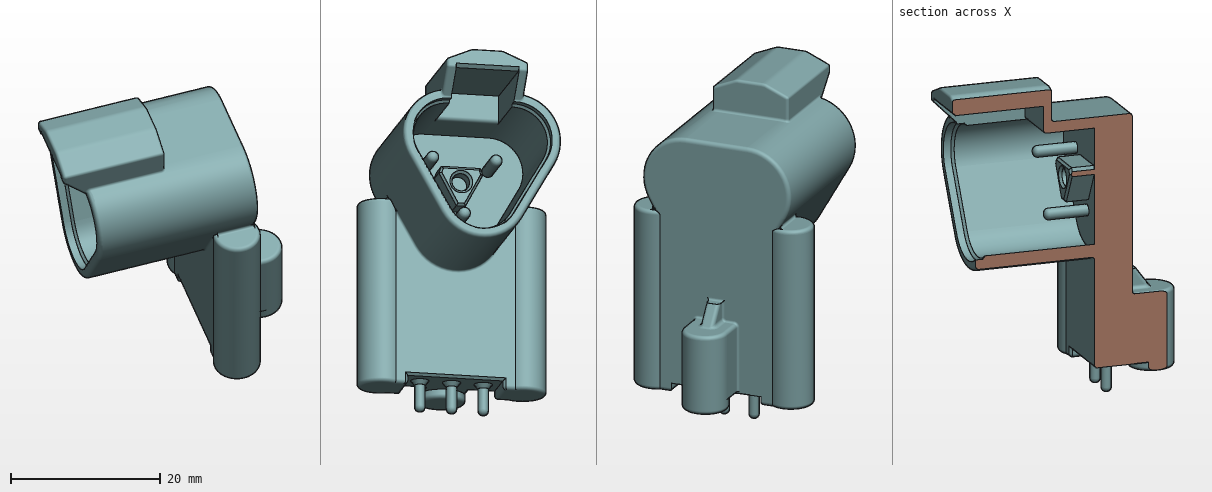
import cadquery as cq
import math


plate_half_depth = 2.75
post_radius = 3.15
overall_width = 25.75
post_x = overall_width / 2 - post_radius
post_height = 25.6
post_round = 0.55
plate_half_width = post_x - math.sqrt(post_radius**2 - plate_half_depth**2)

notch_half_width = 6.5
notch_height = 1.25
notch_chamfer = 0.35

contact_spacing = 8.7
contact_radius = 0.8
contact_drop = contact_spacing * math.sqrt(3) / 2
foot_pin_length = 3.05
collar_radius = 1.25
collar_height = 0.6
contact_front_y = -8.85
contact_tip_round = 0.65
foot_pin_radius = 0.7

corner_spacing = 8.95
shell_radius = 6.3
shell_front_y = -19.73
shell_top_z = 36.45
shell_wall = 1.6
cavity_radius = shell_radius - shell_wall
shell_front_round = 0.55
shell_back_round = 0.58
rebate_step = 0.35
rebate_depth = 1.05
upper_corner_z = shell_top_z - shell_radius
corner_drop = corner_spacing * math.sqrt(3) / 2
lower_corner_z = upper_corner_z - corner_drop
socket_centre_z = upper_corner_z - corner_drop / 3
plate_shell_round = 0.3

hood_half_width = 5.55
hood_flat_half_width = 2.1
hood_ridge_round = 1.75
hood_shoulder_z = 39.8
hood_top_z = 41.25
hood_back_y = -8.78
hood_front_y = -23.0
hood_lip_z = 38.65
hood_round = 0.4
hood_base_round = 0.35
hood_wall = 1.25
slot_lead_in = 0.5
slot_back_round = 0.55

key_top_half_width = 2.65
key_half_width = 3.0
key_tip_half_width = 0.6
key_top_z = 29.6
key_corner_z = 28.7
key_tip_z = 24.25
key_front_y = -6.2
key_chamfer = 0.3
key_hole_radius = 1.2
key_hole_depth = 2.2
key_hole_chamfer = 0.35

margin = 0.05

lug_radius = 3.15
lug_centre_y = 6.35
lug_height = 11.15
lug_round = 0.55
lug_relief_chamfer = 0.35
lug_foot_round = 0.3
gusset_half_width = 0.98
gusset_top_z = 14.0
gusset_flat_y = 4.0
gusset_toe_y = 6.1
gusset_round = 0.55
gusset_foot_round = 0.55


def slab(outline, y_from, y_to):
    """Extrude an outline of the XZ plane between two Y positions."""
    return outline.extrude(y_from - y_to).translate((0, y_from, 0))


def rounded_triangle(radius):
    """Outline of the socket: three arcs of one radius joined by tangent lines."""
    half = corner_spacing / 2
    across = radius * math.cos(math.radians(30))
    along = radius / 2
    return (
        cq.Workplane("XZ")
        .moveTo(-half, upper_corner_z + radius)
        .lineTo(half, upper_corner_z + radius)
        .threePointArc((half + across, upper_corner_z + along), (half + across, upper_corner_z - along))
        .lineTo(across, lower_corner_z - along)
        .threePointArc((0, lower_corner_z - radius), (-across, lower_corner_z - along))
        .lineTo(-half - across, upper_corner_z - along)
        .threePointArc((-half - across, upper_corner_z + along), (-half, upper_corner_z + radius))
        .close()
    )


def make_plate():
    """Flat plate between two round posts, with a chamfered notch in its foot."""
    plate = cq.Workplane("XY").rect(2 * plate_half_width, 2 * plate_half_depth).extrude(post_height)
    for side in (-1, 1):
        post = cq.Workplane("XY").center(side * post_x, 0).circle(post_radius).extrude(post_height)
        plate = plate.union(post)
    plate = plate.faces(">Z").edges().fillet(post_round)
    notch = cq.Workplane("XY").rect(2 * notch_half_width, 4 * plate_half_depth).extrude(notch_height)
    plate = plate.cut(notch)
    front_notch_edges = cq.selectors.BoxSelector(
        (-notch_half_width - margin, -plate_half_depth - margin, margin),
        (notch_half_width + margin, -plate_half_depth + margin, notch_height + margin),
    )
    plate = plate.edges(front_notch_edges).chamfer(notch_chamfer)
    return plate.faces("<Z").edges().fillet(post_round)


def make_shell():
    """Solid outer form of the socket with rounded ends."""
    shell = slab(rounded_triangle(shell_radius), plate_half_depth, shell_front_y)
    shell = shell.faces("<Y").edges().fillet(shell_front_round)
    return shell.faces(">Y").edges().fillet(shell_back_round)


def make_hood():
    """Solid outer form of the latch hood, with sloping shoulders and an overhanging nose."""
    section = (
        cq.Workplane("XZ")
        .moveTo(-hood_half_width, socket_centre_z)
        .lineTo(-hood_half_width, hood_shoulder_z)
        .lineTo(-hood_flat_half_width, hood_top_z)
        .lineTo(hood_flat_half_width, hood_top_z)
        .lineTo(hood_half_width, hood_shoulder_z)
        .lineTo(hood_half_width, socket_centre_z)
        .close()
    )
    hood = slab(section, hood_back_y, hood_front_y)
    nose_drop = hood_lip_z - socket_centre_z
    under_nose = (
        cq.Workplane("YZ")
        .moveTo(hood_front_y, hood_lip_z)
        .lineTo(hood_front_y + nose_drop, socket_centre_z)
        .lineTo(hood_front_y, socket_centre_z)
        .close()
        .extrude(hood_half_width, both=True)
    )
    hood = hood.cut(under_nose)
    ridges = cq.selectors.BoxSelector(
        (-hood_flat_half_width - margin, hood_front_y - margin, hood_top_z - margin),
        (hood_flat_half_width + margin, hood_back_y + margin, hood_top_z + margin),
    )
    hood = hood.edges("|Y").edges(ridges).fillet(hood_ridge_round)
    upper = cq.selectors.BoxSelector(
        (-2 * hood_half_width, hood_front_y - 0.45, socket_centre_z + 0.45),
        (2 * hood_half_width, hood_back_y + 0.45, hood_top_z + 0.45),
    )
    return hood.edges(upper).fillet(hood_round)


def make_covered_shell():
    """Shell with the hood on top and a small round around the foot of the hood."""
    covered = make_shell().union(make_hood())
    hood_foot = cq.selectors.BoxSelector(
        (-hood_half_width - margin, shell_front_y - margin, shell_top_z - 0.65),
        (hood_half_width + margin, hood_back_y + margin, shell_top_z + margin),
        boundingbox=True,
    )
    rim = cq.selectors.BoxSelector(
        (-hood_half_width - margin, shell_front_y - margin, socket_centre_z),
        (hood_half_width + margin, shell_front_y + margin, shell_top_z),
        boundingbox=True,
    )
    return covered.edges(hood_foot - rim).fillet(hood_base_round)


def make_body():
    """Plate and covered shell joined, with a small round where the shell leaves the plate."""
    body = make_plate().union(make_covered_shell())
    shell_foot = cq.selectors.BoxSelector(
        (-plate_half_width - margin, -plate_half_depth - margin, lower_corner_z - shell_radius - margin),
        (plate_half_width + margin, -plate_half_depth + margin, post_height - post_round),
        boundingbox=True,
    )
    return body.edges(shell_foot).fillet(plate_shell_round)


def make_cavity():
    """Socket interior with a rebated mouth, and the slot for the latch under the hood."""
    cavity = slab(rounded_triangle(cavity_radius), -plate_half_depth, shell_front_y)
    rebate_radius = cavity_radius + rebate_step
    rebate_end_y = shell_front_y + rebate_depth
    rebate = slab(rounded_triangle(rebate_radius), rebate_end_y, shell_front_y)
    shoulder = rounded_triangle(rebate_radius).extrude(-rebate_step, taper=45)
    shoulder = shoulder.translate((0, rebate_end_y, 0))
    slot_back_y = hood_back_y - hood_wall
    cavity_top_z = upper_corner_z + cavity_radius
    slot = (
        cq.Workplane("YZ")
        .moveTo(hood_front_y, socket_centre_z)
        .lineTo(hood_front_y, hood_lip_z + slot_lead_in)
        .lineTo(hood_front_y + slot_lead_in, hood_lip_z)
        .lineTo(slot_back_y, hood_lip_z)
        .lineTo(slot_back_y, cavity_top_z + slot_back_round)
        .radiusArc((slot_back_y + slot_back_round, cavity_top_z), -slot_back_round)
        .lineTo(slot_back_y + slot_back_round, socket_centre_z)
        .close()
        .extrude(hood_half_width - hood_wall, both=True)
    )
    return cavity.union(rebate).union(shoulder).union(slot)


def make_key():
    """Triangular key with clipped corners and a countersunk blind hole in its end."""
    right_side = [
        (key_top_half_width, key_top_z),
        (key_half_width, key_corner_z),
        (key_tip_half_width, key_tip_z),
    ]
    left_side = [(-x, z) for x, z in reversed(right_side)]
    key = slab(cq.Workplane("XZ").polyline(right_side + left_side).close(), -plate_half_depth, key_front_y)
    key = key.faces("<Y").chamfer(key_chamfer)
    hole_outline = cq.Workplane("XZ").center(0, socket_centre_z).circle(key_hole_radius)
    key = key.cut(slab(hole_outline, key_front_y + key_hole_depth, key_front_y))
    return key.faces("<Y").edges("%CIRCLE").chamfer(key_hole_chamfer)


def make_contact(x, z):
    """Contact ends: a dome-ended pin in the socket and a collared pin below the foot."""
    socket_pin_outline = cq.Workplane("XZ").center(x, z).circle(contact_radius)
    socket_pin = slab(socket_pin_outline, -plate_half_depth, contact_front_y)
    socket_pin = socket_pin.faces("<Y").edges().fillet(contact_tip_round)
    foot_pin = (
        cq.Workplane("XY", origin=(x, 0, -foot_pin_length))
        .circle(foot_pin_radius)
        .extrude(foot_pin_length + notch_height)
        .faces("<Z")
        .edges()
        .fillet(contact_tip_round)
    )
    collar = (
        cq.Workplane("XY", origin=(x, 0, notch_height))
        .circle(collar_radius)
        .workplane(offset=-collar_height)
        .circle(foot_pin_radius)
        .loft()
    )
    return socket_pin.union(foot_pin).union(collar)


def make_lug():
    """Round peg on the back, joined to the plate by a neck above the notch, with a sloping gusset on top."""
    peg = cq.Workplane("XY").center(0, lug_centre_y).circle(lug_radius).extrude(lug_height)
    neck_length = lug_centre_y - plate_half_depth
    neck = (
        cq.Workplane("XY", origin=(0, plate_half_depth + neck_length / 2, notch_height))
        .rect(2 * lug_radius, neck_length)
        .extrude(lug_height - notch_height)
        .faces("<Z")
        .edges("|Y")
        .chamfer(lug_relief_chamfer)
    )
    lug = peg.faces("<Z").edges().fillet(lug_round).union(neck)
    lug = lug.faces(">Z").edges("not <Y").fillet(lug_round)
    gusset = (
        cq.Workplane("YZ")
        .moveTo(plate_half_depth, lug_height / 2)
        .lineTo(plate_half_depth, gusset_top_z)
        .lineTo(gusset_flat_y, gusset_top_z)
        .lineTo(gusset_toe_y, lug_height)
        .lineTo(gusset_toe_y, lug_height / 2)
        .close()
        .extrude(gusset_half_width, both=True)
    )
    gusset_slope = cq.selectors.BoxSelector(
        (-gusset_half_width - margin, gusset_flat_y - margin, lug_height),
        (gusset_half_width + margin, gusset_toe_y, gusset_top_z),
    )
    crosswise = cq.selectors.ParallelDirSelector(cq.Vector(1, 0, 0))
    gusset = gusset.edges(gusset_slope - crosswise).fillet(gusset_round)
    lug = lug.union(gusset)
    gusset_foot = cq.selectors.BoxSelector(
        (-gusset_half_width - margin, plate_half_depth + margin, lug_height - margin),
        (gusset_half_width + margin, gusset_toe_y + margin, lug_height + margin),
    )
    return lug.edges(gusset_foot).fillet(gusset_foot_round)


def make_post_fillet(side):
    """Fillet between the flat top of a post and the shell wall leaning over it at 60 degrees."""
    wall_angle = math.radians(60)
    tangent_length = plate_shell_round / math.tan(wall_angle / 2)
    wall_x = (shell_radius + (post_height - lower_corner_z) * math.cos(wall_angle)) / math.sin(wall_angle)
    fillet = (
        cq.Workplane("XZ")
        .moveTo(wall_x, post_height)
        .lineTo(wall_x + tangent_length, post_height)
        .radiusArc(
            (
                wall_x + tangent_length * math.cos(wall_angle),
                post_height + tangent_length * math.sin(wall_angle),
            ),
            plate_shell_round,
        )
        .close()
        .extrude(post_radius, both=True)
    )
    flat_top = (
        cq.Workplane("XY", origin=(post_x, 0, post_height))
        .circle(post_radius - post_round)
        .extrude(tangent_length)
    )
    fillet = fillet.intersect(flat_top)
    return fillet if side > 0 else fillet.mirror("YZ")


def add_lug(body):
    """Join the lug and its gusset to the back of the plate with a round in the corner."""
    joined = body.union(make_lug())
    lug_foot = cq.selectors.BoxSelector(
        (-lug_radius - margin, plate_half_depth - margin, notch_height - margin),
        (lug_radius + margin, plate_half_depth + margin, gusset_top_z + margin),
        boundingbox=True,
    )
    notch_roof = cq.selectors.BoxSelector(
        (-lug_radius - margin, plate_half_depth - margin, notch_height - margin),
        (lug_radius + margin, plate_half_depth + margin, notch_height + margin),
        boundingbox=True,
    )
    return joined.edges(lug_foot - notch_roof).fillet(lug_foot_round)


result = add_lug(make_body()).cut(make_cavity()).union(make_key())
for side in (-1, 1):
    result = result.union(make_post_fillet(side))
for x, z in (
    (-contact_spacing / 2, upper_corner_z),
    (contact_spacing / 2, upper_corner_z),
    (0, upper_corner_z - contact_drop),
):
    result = result.union(make_contact(x, z))